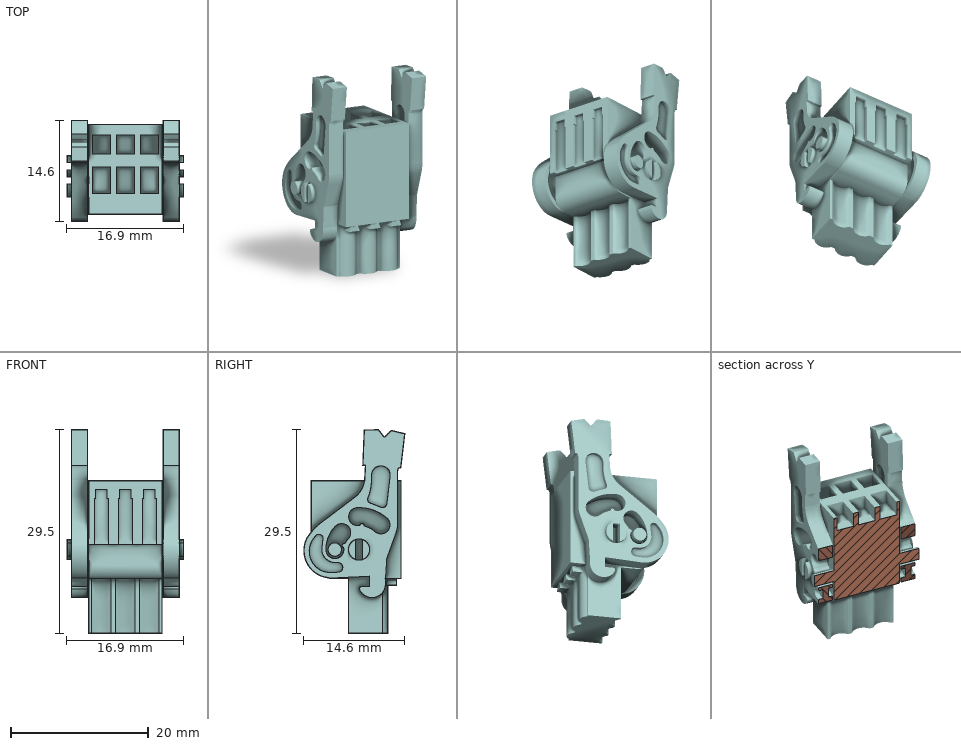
import cadquery as cq
import math


HOUSING_WIDTH = 10.63
HOUSING_BACK = 6.08
HOUSING_FRONT = -6.97
HOUSING_TOP = 9.98
HOUSING_BOTTOM = -4.22
POLE_COUNT = 3
POLE_PITCH = 3.48
POLE_CENTRES = [(i - (POLE_COUNT - 1) / 2) * POLE_PITCH for i in range(POLE_COUNT)]

OVERHANG_BOTTOM = 0.75
OVERHANG = 1.3
FRONT_EDGE_RADIUS = 1.83

GROOVE_DEPTH = 0.55
GROOVE_WIDTH = 2.05
GROOVE_SHOULDER = 7.4
GROOVE_TIP_WIDTH = 1.68
GROOVE_TOP = 8.68

OPENING_WIDTH = 2.6
OPENING_DEPTH = 2.2
OPENING_ROWS = [(1.77, 4.55), (-3.95, -0.12)]

PLUG_BOTTOM = -12.13
PLUG_FRONT = -1.54
PLUG_BACK = 3.42
LOBE_WIDTH = 2.83
LOBE_RISE = 0.75

KEY_BACK = 5.43
KEY_NECK_BOTTOM = -4.4
KEY_BOTTOM = -5.2
KEY_NECK_WIDTH = 1.12
KEY_FOOT_WIDTH = 1.77

OVERALL_WIDTH = 16.9
BOSS_RADIUS = 1.54
BOSS_SLOT_WIDTH = 1.03
BOSS_SLOT_DEPTH = 2.35
PIN_RADIUS = 0.97
TRACK_RADIUS = 3.5
PIN_ANGLE = 180.0

LEVER_THICKNESS = 2.35
LEVER_GAP = 0.15
POCKET_DEPTH = 0.7
SLOT_HALF_WIDTH = 1.3
PIN_SLOT_START = 135.5
UPPER_SLOT_RADIUS = 4.78
UPPER_SLOT_START = 48.5
UPPER_SLOT_END = 92.5
BUMP_RADIUS = 0.27
BUMP_RISE = 0.32
BUMP_BLEND_RADIUS = 0.4
BUMP_REACH = BUMP_RADIUS + 0.03
UPPER_BUMP_ANGLE = 83.0
PIN_BUMP_ANGLE = 165.0


def box(x_range, y_range, z_range):
    sizes = [high - low for low, high in (x_range, y_range, z_range)]
    lows = (x_range[0], y_range[0], z_range[0])
    return cq.Workplane("XY").box(*sizes, centered=False).translate(lows)


def centred_range(centre, width):
    return (centre - width / 2, centre + width / 2)


def side_plane(x):
    """Sketch plane at X = x with local axes along +Y and +Z."""
    return cq.Workplane("YZ", origin=(x, 0, 0))


def polar(radius, degrees):
    """Point at a distance and angle from the pivot, measured from +Y toward +Z."""
    angle = math.radians(degrees)
    return (radius * math.cos(angle), radius * math.sin(angle))


def main_block():
    lower_front = HOUSING_FRONT + OVERHANG
    return (
        side_plane(-HOUSING_WIDTH / 2)
        .moveTo(HOUSING_BACK, HOUSING_TOP)
        .lineTo(HOUSING_FRONT, HOUSING_TOP)
        .lineTo(HOUSING_FRONT, OVERHANG_BOTTOM)
        .lineTo(lower_front, OVERHANG_BOTTOM)
        .lineTo(lower_front, HOUSING_BOTTOM + FRONT_EDGE_RADIUS)
        .tangentArcPoint((lower_front + FRONT_EDGE_RADIUS, HOUSING_BOTTOM), relative=False)
        .lineTo(HOUSING_BACK, HOUSING_BOTTOM)
        .close()
        .extrude(HOUSING_WIDTH)
    )


def front_groove(x):
    depth = (HOUSING_FRONT, HOUSING_FRONT + GROOVE_DEPTH)
    lower = box(centred_range(x, GROOVE_WIDTH), depth, (OVERHANG_BOTTOM, GROOVE_SHOULDER))
    tip = box(centred_range(x, GROOVE_TIP_WIDTH), depth, (GROOVE_SHOULDER, GROOVE_TOP))
    return lower.union(tip)


def top_opening(x, row):
    return box(centred_range(x, OPENING_WIDTH), row, (HOUSING_TOP - OPENING_DEPTH, HOUSING_TOP))


def plug_section():
    """Block with a concave flute per pole in front and a matching convex lobe behind."""
    half_width = HOUSING_WIDTH / 2
    outline = cq.Workplane("XY", origin=(0, 0, PLUG_BOTTOM)).moveTo(-half_width, PLUG_FRONT)
    for x in POLE_CENTRES:
        outline = outline.lineTo(x - LOBE_WIDTH / 2, PLUG_FRONT).threePointArc(
            (x, PLUG_FRONT + LOBE_RISE), (x + LOBE_WIDTH / 2, PLUG_FRONT)
        )
    outline = outline.lineTo(half_width, PLUG_FRONT).lineTo(half_width, PLUG_BACK)
    for x in reversed(POLE_CENTRES):
        outline = outline.lineTo(x + LOBE_WIDTH / 2, PLUG_BACK).threePointArc(
            (x, PLUG_BACK + LOBE_RISE), (x - LOBE_WIDTH / 2, PLUG_BACK)
        )
    outline = outline.lineTo(-half_width, PLUG_BACK).close()
    return outline.extrude(HOUSING_BOTTOM - PLUG_BOTTOM)


def dovetail_key(x):
    """Rib along Y that hangs from the housing bottom and flares out downward."""
    neck = KEY_NECK_WIDTH / 2
    foot = KEY_FOOT_WIDTH / 2
    return (
        cq.Workplane("XZ", origin=(x, KEY_BACK, 0))
        .moveTo(-neck, HOUSING_BOTTOM)
        .lineTo(neck, HOUSING_BOTTOM)
        .lineTo(neck, KEY_NECK_BOTTOM)
        .lineTo(foot, KEY_BOTTOM)
        .lineTo(-foot, KEY_BOTTOM)
        .lineTo(-neck, KEY_NECK_BOTTOM)
        .close()
        .extrude(KEY_BACK - PLUG_BACK)
    )


def through_rod(radius, centre):
    """Round rod across the whole width, ending in a boss or pin on each side."""
    return side_plane(-OVERALL_WIDTH / 2).center(*centre).circle(radius).extrude(OVERALL_WIDTH)


def boss_slots():
    end = OVERALL_WIDTH / 2
    width = centred_range(0, BOSS_SLOT_WIDTH)
    height = centred_range(0, 2 * BOSS_RADIUS)
    right = box((end - BOSS_SLOT_DEPTH, end), width, height)
    return right.union(right.mirror("YZ"))


def make_housing():
    body = main_block()
    for x in POLE_CENTRES:
        body = body.cut(front_groove(x))
    body = body.union(plug_section())
    for x in POLE_CENTRES:
        body = body.union(dovetail_key(x))
    body = body.union(through_rod(BOSS_RADIUS, (0, 0)))
    body = body.union(through_rod(PIN_RADIUS, polar(TRACK_RADIUS, PIN_ANGLE)))
    for x in POLE_CENTRES:
        for row in OPENING_ROWS:
            body = body.cut(top_opening(x, row))
    return body.cut(boss_slots())


def lever_blank():
    """Lever plate from X = 0, outline points given as (Y, Z)."""
    return (
        side_plane(0)
        .moveTo(5.7, 11.78)
        .lineTo(6.05, 11.87)
        .lineTo(6.65, 16.8)
        .lineTo(4.65, 17.27)
        .lineTo(3.85, 16.45)
        .threePointArc((3.65, 16.32), (3.5, 16.47))
        .lineTo(2.8, 17.4)
        .lineTo(0.75, 17.33)
        .lineTo(0.53, 12.22)
        .lineTo(0.92, 12.22)
        .lineTo(0.8, 10.05)
        .threePointArc((0.35, 8.7), (-0.47, 7.7))
        .lineTo(-5.28, 4.07)
        .threePointArc((-6.55, 2.98), (-7.55, 1.68))
        .threePointArc((-6.9, -2.9), (-4.05, -4.13))
        .lineTo(1.54, -3.87)
        .lineTo(1.54, -5.37)
        .lineTo(0.32, -5.37)
        .threePointArc((0.1, -5.5), (0.03, -5.7))
        .lineTo(0.15, -6.0)
        .threePointArc((1.7, -6.97), (3.45, -6.2))
        .threePointArc((3.75, -5.52), (3.8, -4.58))
        .lineTo(4.0, -1.33)
        .lineTo(5.35, 2.4)
        .threePointArc((5.52, 3.05), (5.58, 3.7))
        .lineTo(5.58, 11.35)
        .close()
        .extrude(LEVER_THICKNESS)
    )


def arc_slot(radius, start, end, bump_angle):
    """Through slot along an arc about the pivot, with a detent bump on its inner wall."""
    inner = radius - SLOT_HALF_WIDTH
    outer = radius + SLOT_HALF_WIDTH
    middle = (start + end) / 2
    slot = (
        side_plane(0)
        .moveTo(*polar(inner, start))
        .threePointArc(polar(inner, middle), polar(inner, end))
        .lineTo(*polar(outer, end))
        .threePointArc(polar(outer, middle), polar(outer, start))
        .close()
        .extrude(LEVER_THICKNESS)
    )
    caps = (
        side_plane(0)
        .pushPoints([polar(radius, start), polar(radius, end)])
        .circle(SLOT_HALF_WIDTH)
        .extrude(LEVER_THICKNESS)
    )
    bump_centre = polar(inner + BUMP_RISE - BUMP_RADIUS, bump_angle)
    bump = (
        side_plane(0)
        .center(*bump_centre)
        .circle(BUMP_RADIUS)
        .extrude(LEVER_THICKNESS)
    )
    slot = slot.union(caps).cut(bump)
    around_bump = cq.selectors.BoxSelector(
        (0, bump_centre[0] - BUMP_REACH, bump_centre[1] - BUMP_REACH),
        (LEVER_THICKNESS, bump_centre[0] + BUMP_REACH, bump_centre[1] + BUMP_REACH),
    )
    return slot.edges("|X").edges(around_bump).fillet(BUMP_BLEND_RADIUS)


def neck_pocket(x):
    return (
        side_plane(x)
        .moveTo(4.52, 10.77)
        .threePointArc((3.15, 12.13), (1.8, 10.77))
        .threePointArc((1.7, 9.0), (1.27, 7.45))
        .threePointArc((1.3, 7.03), (1.55, 6.75))
        .lineTo(3.25, 6.1)
        .threePointArc((3.8, 6.25), (4.05, 6.75))
        .close()
        .extrude(POCKET_DEPTH)
    )


def foot_pocket(x):
    """Crescent pocket that follows the round foot."""
    return (
        side_plane(x)
        .moveTo(-5.23, 1.68)
        .threePointArc((-5.75, 2.2), (-6.35, 1.92))
        .threePointArc((-6.67, -2.0), (-4.05, -3.35))
        .lineTo(-3.0, -3.28)
        .threePointArc((-2.35, -2.57), (-3.0, -1.9))
        .lineTo(-3.55, -1.9)
        .threePointArc((-4.87, -1.3), (-5.4, 0.1))
        .close()
        .extrude(POCKET_DEPTH)
    )


def make_lever(inner_x):
    """Lever whose lower-X face lies at X = inner_x; the same part serves both sides."""
    lever = lever_blank()
    lever = lever.cut(side_plane(0).circle(BOSS_RADIUS).extrude(LEVER_THICKNESS))
    lever = lever.cut(arc_slot(UPPER_SLOT_RADIUS, UPPER_SLOT_START, UPPER_SLOT_END, UPPER_BUMP_ANGLE))
    lever = lever.cut(arc_slot(TRACK_RADIUS, PIN_SLOT_START, PIN_ANGLE, PIN_BUMP_ANGLE))
    for face_x in (0, LEVER_THICKNESS - POCKET_DEPTH):
        lever = lever.cut(neck_pocket(face_x)).cut(foot_pocket(face_x))
    return lever.translate((inner_x, 0, 0))


housing = make_housing()
lever_inner_face = HOUSING_WIDTH / 2 + LEVER_GAP
levers = [make_lever(x) for x in (-lever_inner_face - LEVER_THICKNESS, lever_inner_face)]

result = cq.Compound.makeCompound([housing.val(), *[lever.val() for lever in levers]])